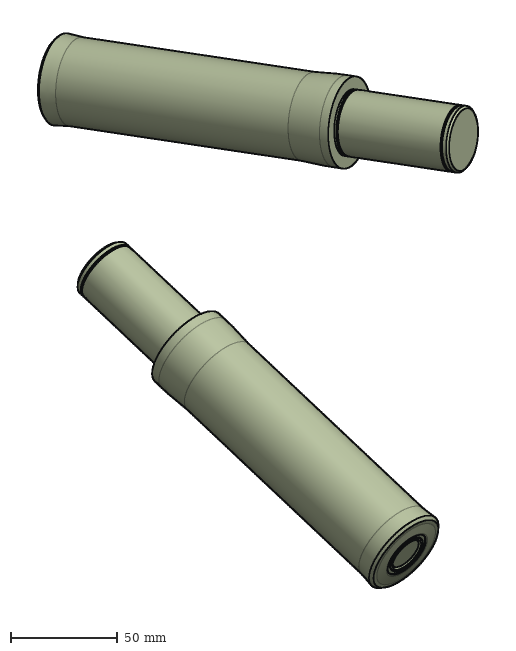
import cadquery as cq

total_length = 216.0
end_cone_depth = 0.6
base_band_start = 2.2
base_band_end = 10.4
flare_start = 133.7
flare_end = 150.8
housing_end = 155.5

tube_radius = 42.5 / 2
collar_radius = 44.0 / 2
flare_bulge = 0.2
rim_radius = 20.5
end_cone_radius = 18.5
end_boss_radius = 13.0

groove_outer_radius = 12.0
groove_inner_radius = 10.2
groove_depth = 0.6
recess_radius = 9.0
recess_floor_radius = 8.2
recess_depth = 0.9

rod_radius = 32.0 / 2
rod_groove_radius = 31.5 / 2
rod_groove_width = 0.9
root_groove_offset = 1.0
tip_groove_offset = 4.0
rod_groove_starts = [housing_end + root_groove_offset, total_length - tip_groove_offset]
tip_chamfer = 1.0


def revolve_about_x(profile):
    """Turn a closed (x, radius) profile in the XY plane about the X axis."""
    return profile.revolve(360, (0, 0, 0), (1, 0, 0))


def make_housing():
    flare_middle = (
        (flare_start + flare_end) / 2,
        (tube_radius + collar_radius) / 2 + flare_bulge,
    )
    outline = (
        cq.Workplane("XY")
        .moveTo(0, 0)
        .lineTo(0, end_boss_radius)
        .lineTo(end_cone_depth, end_cone_radius)
        .lineTo(end_cone_depth, rim_radius)
        .lineTo(base_band_start, collar_radius)
        .lineTo(base_band_end, tube_radius)
        .lineTo(flare_start, tube_radius)
        .threePointArc(flare_middle, (flare_end, collar_radius))
        .lineTo(housing_end, collar_radius)
        .lineTo(housing_end, 0)
        .close()
    )
    groove = (
        cq.Workplane("YZ")
        .circle(groove_outer_radius)
        .circle(groove_inner_radius)
        .extrude(groove_depth)
    )
    recess = revolve_about_x(
        cq.Workplane("XY").polyline([
            (0, 0),
            (0, recess_radius),
            (recess_depth, recess_floor_radius),
            (recess_depth, 0),
        ]).close()
    )
    return revolve_about_x(outline).cut(groove).cut(recess)


def make_rod_groove(start):
    return (
        cq.Workplane("YZ", origin=(start, 0, 0))
        .circle(rod_radius)
        .circle(rod_groove_radius)
        .extrude(rod_groove_width)
    )


def make_rod():
    rod_length = total_length - housing_end
    body = (
        cq.Workplane("YZ", origin=(housing_end, 0, 0))
        .circle(rod_radius)
        .extrude(rod_length)
        .faces(">X")
        .chamfer(tip_chamfer)
    )
    for start in rod_groove_starts:
        body = body.cut(make_rod_groove(start))
    return body


housing = make_housing()
rod = make_rod()
result = cq.Compound.makeCompound([housing.val(), rod.val()])